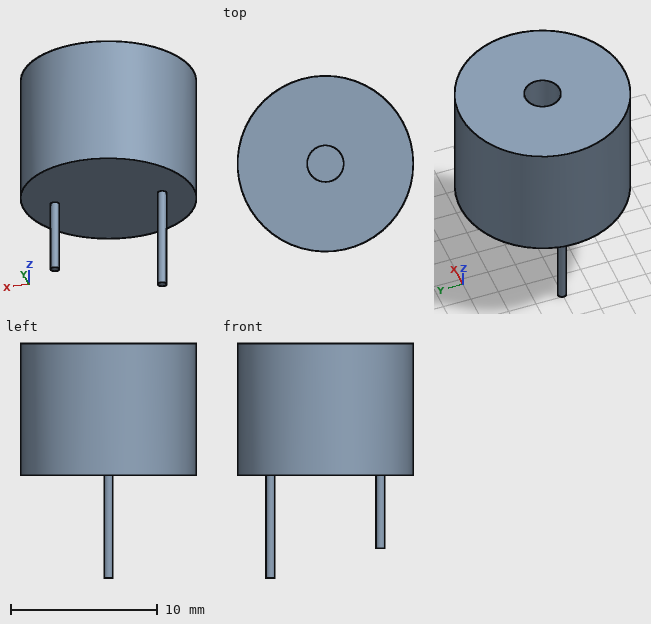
import cadquery as cq

total_height = 16.0
body_diameter = 12.0
body_height = 9.0

hole_diameter = 2.5
hole_depth = 3.0

pin_diameter = 0.6
pin_spacing = 7.5
long_pin_length = total_height - body_height
short_pin_length = 5.0


def make_body():
    """Cylindrical housing standing on Z = 0, with the sound hole."""
    housing = cq.Workplane("XY").circle(body_diameter / 2).extrude(body_height)
    return housing.faces(">Z").workplane().hole(hole_diameter, hole_depth)


def make_pin(x, length):
    """Round pin hanging down from the underside of the body."""
    return cq.Workplane("XY").center(x, 0).circle(pin_diameter / 2).extrude(-length)


long_pin = make_pin(-pin_spacing / 2, long_pin_length)
short_pin = make_pin(pin_spacing / 2, short_pin_length)

result = make_body().union(long_pin).union(short_pin)